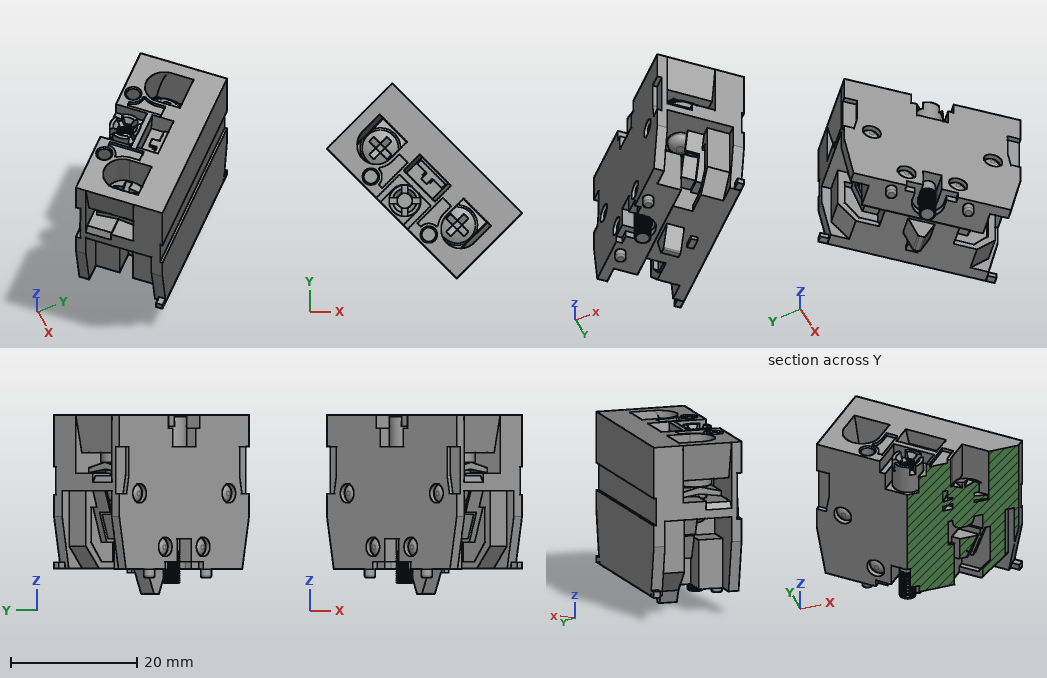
import cadquery as cq
import math


TURN_ANGLE = -45.0
OVERALL_FOOTPRINT = 30.94
WIDTH = 29.1
DEPTH = OVERALL_FOOTPRINT * math.sqrt(2) - WIDTH
HEIGHT = 24.45
HALF_WIDTH = WIDTH / 2
TAPER_START_Z = 8.4
BOTTOM_HALF_WIDTH = 13.02
FRONT_PLATE = 1.7
REAR_BOTTOM_Z = 0.1
FRONT_INNER_DEPTH = 5.7
REAR_GROOVE_DEPTH = 0.4
REAR_GROOVE_Z = (11.8, 16.2)
FOOT_SIZE = (1.45, 1.1, 1.0)

SIDE_NOTCH_DEPTH = 0.76
SIDE_NOTCH_HALF = 12.38
SIDE_NOTCH_LOW_HALF = 12.92
SIDE_NOTCH_Z = (11.95, 14.9, 19.4)
RIVET_POINTS = ((10.0, 12.02), (4.24, 3.53))
RIVET_RADIUS = 1.51
RIVET_RIM_DEPTH = 0.98
RIVET_TIP_RADIUS = 0.37
RIVET_TIP_DEPTH = 0.22
RIVET_BULGE = 0.2
STEP_HALF_WIDTH = 4.23
STEP_DEPTH = 1.0
STEP_HEIGHT = 1.2
ROD_SLOT_HALF_WIDTH = 1.55
ROD_SLOT_HEIGHT = 4.85

ROD_V = 2.89
FIXING_RADIUS = 2.48
FIXING_TOP_Z = 24.17
FIXING_BORE_RADIUS = 1.2
FIXING_MOUTH_RADIUS = 1.9
FIXING_MOUTH_DEPTH = 0.85
FIXING_SLOT_WIDTH = 1.0
FIXING_SLOT_Z = 22.66
FIXING_GROOVE_RADIUS = 1.35
FIXING_THREAD_TURNS = 7
SEAT_Z = 19.35
SEAT_RADIUS = 2.57
SHELF_Z = 22.3
SHELF_HALF_WIDTH = 3.5
SHELF_DEPTH = 5.25
ROD_RADIUS = 1.3
ROD_CORE_RADIUS = 1.1
ROD_BOTTOM_Z = -2.25
THREAD_PITCH = 0.34
ROD_THREAD_TURNS = 15
ROD_RELIEF_CENTRE_V = 2.35
ROD_RELIEF_RADIUS = 2.62

PIN_U = 6.36
PIN_V = 1.48
PIN_RADIUS = 0.87
PIN_BOTTOM_Z = -1.38
PIN_FILLET = 0.35
PIN_HOLE_U = 6.49
PIN_HOLE_V = 1.8
PIN_HOLE_RADIUS = 1.1
PIN_HOLE_RIM_RADIUS = 1.33
PIN_HOLE_DEPTH = 3.0

SHAFT_U = 9.41
SHAFT_RADIUS = 3.06
SHAFT_ARC_V = 5.95
SHAFT_END_V = 9.75
SHAFT_BOTTOM_Z = 18.46
SHAFT_WALL_LEAN = 0.87
OPENING_LEAN = 1.37
OPENING_FLOOR_Z = 15.2
OPENING_INNER_U = 5.5
SILL_V = 5.93
SILL_Z = 13.8
SILL_CHAMFER = (0.65, 1.0)
TRAY_DEPTH = 0.56
TRAY_INNER_U = 3.93
TRAY_OUTER_U = 6.47
TRAY_FRONT_V = 1.8
TRAY_REAR_V = 7.5
TRAY_PIN_RADIUS = 1.77
TRAY_SHAFT_RADIUS = 3.6

TERMINAL_U = 8.62
TERMINAL_V = 6.06
TERMINAL_HEAD_RADIUS = 2.87
TERMINAL_DOME_RADIUS = 3.2
TERMINAL_HEAD_Z = (16.93, 18.6, 19.6)
TERMINAL_SHANK_RADIUS = 2.07
TERMINAL_SHANK_Z = 10.7
TERMINAL_SHANK_FILLET = 1.4
CROSS_WIDTH = 1.03
CROSS_LENGTH = 5.2
CROSS_DEPTH = 1.3
WASHER_END_U = 11.7
WASHER_HALF_DEPTH = 3.62
WASHER_PEAK_Z = 16.95
WASHER_RISE = 0.9
WASHER_END_THICKNESS = 0.77
WASHER_PEAK_THICKNESS = 1.15

WINDOW_V = 6.18
WINDOW_DEPTH = 2.75
WINDOW_LEAN = 0.58
BRIDGE_HEIGHT = 0.5
BRIDGE_HALF_WIDTH = 2.75
BRIDGE_V = (8.45, 9.3)
BRIDGE_STEM_HALF_WIDTH = 0.62
BRIDGE_STEM_V = 7.2
BRIDGE_SHOULDER_HALF_WIDTH = 0.9
BRIDGE_SHOULDER_V = 7.76

CAVITY_TOP_Z = 12.4
CAVITY_REAR_V = 12.8
CORE_HALF_WIDTH = 6.15
FRONT_BLOCK_HALF_WIDTH = 10.0
FRONT_BLOCK_TOP_Z = 8.0
REAR_BLOCK_V = 9.04
REAR_BLOCK_HALF_WIDTH = 12.98
REAR_BLOCK_LOW_HALF_WIDTH = 10.0
REAR_BLOCK_SLOPE_Z = 3.63
TRACK_DEPTH = 0.86
TRACK_HALF_WIDTH = 11.83
TRACK_LOW_HALF_WIDTH = 9.48
TRACK_Z = (1.2, 4.3, 9.8)

CARRIAGE_TOP_HALF_WIDTH = 11.4
CARRIAGE_SLOPE = 0.339
CARRIAGE_BOTTOM_Z = 4.3
CARRIAGE_FRONT_V = 6.3
CARRIAGE_PLATE = 0.35
CARRIAGE_FLANGE_V = 8.7
CARRIAGE_HEAD_Z = 9.0
CARRIAGE_INSET = 0.47
CARRIAGE_PANEL_Z = (4.8, 8.7)
NOSE_V = (6.2, 9.1)
NOSE_BOTTOM_Z = -3.95
NOSE_BOTTOM_HALF_WIDTH = 0.55
NOSE_TOP_HALF_WIDTH = 2.2
NOSE_FILLET = 0.3
TAB_V = (10.7, 11.8)
TAB_HALF_WIDTH = 1.0
TAB_BOTTOM_Z = -0.6


def box(u_range, v_range, z_range):
    """Box between two values on each axis; the values may come in either order."""
    sizes = [abs(b - a) for a, b in (u_range, v_range, z_range)]
    corner = [min(pair) for pair in (u_range, v_range, z_range)]
    return cq.Workplane("XY").box(*sizes, centered=False).translate(tuple(corner))


def prism(outline, v_start, v_end):
    """Outline in (u, z), carried from v_start back to v_end."""
    return cq.Workplane("XZ", origin=(0, v_start, 0)).polyline(outline).close().extrude(v_start - v_end)


def cylinder(u, v, radius, z_start, z_end):
    return cq.Workplane("XY", origin=(u, v, z_start)).circle(radius).extrude(z_end - z_start)


def trapezoid(half_low, half_high, z_low, z_high, v_start, v_end):
    outline = [(-half_low, z_low), (half_low, z_low), (half_high, z_high), (-half_high, z_high)]
    return prism(outline, v_start, v_end)


def on_both_sides(solid):
    """The solid together with its mirror image in the middle plane u = 0."""
    return solid.union(solid.mirror("YZ"))


def housing():
    outline = [
        (-BOTTOM_HALF_WIDTH, 0), (BOTTOM_HALF_WIDTH, 0), (HALF_WIDTH, TAPER_START_Z),
        (HALF_WIDTH, HEIGHT), (-HALF_WIDTH, HEIGHT), (-HALF_WIDTH, TAPER_START_Z),
    ]
    body = prism(outline, 0, DEPTH)
    across = (-HALF_WIDTH, HALF_WIDTH)
    body = body.cut(box(across, (FRONT_INNER_DEPTH, DEPTH), (0, REAR_BOTTOM_Z)))
    foot_u, foot_v, foot_z = FOOT_SIZE
    foot = box(
        (HALF_WIDTH - foot_u, HALF_WIDTH), (DEPTH - foot_v, DEPTH), (REAR_BOTTOM_Z, REAR_BOTTOM_Z + foot_z)
    )
    body = body.union(on_both_sides(foot))
    return body.cut(box(across, (DEPTH - REAR_GROOVE_DEPTH, DEPTH), REAR_GROOVE_Z))


def side_notches():
    low_z, slope_z, top_z = SIDE_NOTCH_Z
    outline = [
        (SIDE_NOTCH_LOW_HALF, low_z), (SIDE_NOTCH_HALF, slope_z), (SIDE_NOTCH_HALF, top_z),
        (HALF_WIDTH, top_z), (HALF_WIDTH, low_z),
    ]
    return on_both_sides(prism(outline, 0, SIDE_NOTCH_DEPTH))


def rivet_recesses():
    """Round recesses, each with a domed rivet head standing up inside it."""
    mid_radius = (RIVET_RADIUS + RIVET_TIP_RADIUS) / 2
    mid_depth = (RIVET_RIM_DEPTH + RIVET_TIP_DEPTH) / 2 - RIVET_BULGE
    ring = (
        cq.Workplane("XY")
        .lineTo(RIVET_RADIUS, 0)
        .lineTo(RIVET_RADIUS, RIVET_RIM_DEPTH)
        .threePointArc((mid_radius, mid_depth), (RIVET_TIP_RADIUS, RIVET_TIP_DEPTH))
        .lineTo(0, RIVET_TIP_DEPTH)
        .close()
        .revolve(360, (0, 0, 0), (0, 1, 0))
    )
    recesses = cq.Workplane("XY")
    for u, z in RIVET_POINTS:
        recesses = recesses.add(on_both_sides(ring.translate((u, 0, z))))
    return recesses.combine()


def bottom_clearance():
    """Stepped opening at the lower front edge, around the threaded rod."""
    step = box((-STEP_HALF_WIDTH, STEP_HALF_WIDTH), (0, STEP_DEPTH), (0, STEP_HEIGHT))
    relief = box((-ROD_RELIEF_RADIUS, ROD_RELIEF_RADIUS), (0, ROD_RELIEF_CENTRE_V), (0, STEP_HEIGHT))
    relief = relief.union(cylinder(0, ROD_RELIEF_CENTRE_V, ROD_RELIEF_RADIUS, 0, STEP_HEIGHT))
    slot = box((-ROD_SLOT_HALF_WIDTH, ROD_SLOT_HALF_WIDTH), (0, ROD_V), (0, ROD_SLOT_HEIGHT))
    slot = slot.union(cylinder(0, ROD_V, ROD_SLOT_HALF_WIDTH, 0, ROD_SLOT_HEIGHT))
    return step.union(relief).union(slot)


def fixing_seat():
    shelf = box((-SHELF_HALF_WIDTH, SHELF_HALF_WIDTH), (0, SHELF_DEPTH), (SHELF_Z, HEIGHT))
    seat = box((-SEAT_RADIUS, SEAT_RADIUS), (0, ROD_V), (SEAT_Z, SHELF_Z))
    return shelf.union(seat).union(cylinder(0, ROD_V, SEAT_RADIUS, SEAT_Z, SHELF_Z))


def fixing_head():
    """Cylindrical head with a funnel-mouthed threaded bore and slots crossing along the global X and Y."""
    head = cylinder(0, ROD_V, FIXING_RADIUS, SEAT_Z, FIXING_TOP_Z)
    thread_z = FIXING_TOP_Z - FIXING_MOUTH_DEPTH
    profile = cq.Workplane("XZ").moveTo(0, FIXING_TOP_Z).lineTo(FIXING_MOUTH_RADIUS, FIXING_TOP_Z)
    profile = profile.lineTo(FIXING_BORE_RADIUS, thread_z)
    for _ in range(FIXING_THREAD_TURNS):
        profile = profile.lineTo(FIXING_GROOVE_RADIUS, thread_z - THREAD_PITCH / 2)
        thread_z -= THREAD_PITCH
        profile = profile.lineTo(FIXING_BORE_RADIUS, thread_z)
    bore = profile.lineTo(0, thread_z).close().revolve(360, (0, 0, 0), (0, 1, 0))
    bore = bore.translate((0, ROD_V, 0))
    head = head.cut(bore)
    slot = box(
        (-FIXING_RADIUS, FIXING_RADIUS), (-FIXING_SLOT_WIDTH / 2, FIXING_SLOT_WIDTH / 2),
        (FIXING_SLOT_Z, FIXING_TOP_Z),
    )
    for angle in (TURN_ANGLE, -TURN_ANGLE):
        turned = slot.rotate((0, 0, 0), (0, 0, 1), angle)
        head = head.cut(turned.translate((0, ROD_V, 0)))
    return head


def threaded_rod():
    """Rod with a row of ring-shaped thread ridges below a plain shank."""
    thread_z = ROD_BOTTOM_Z
    profile = cq.Workplane("XZ").moveTo(0, ROD_BOTTOM_Z).lineTo(ROD_CORE_RADIUS, ROD_BOTTOM_Z)
    for _ in range(ROD_THREAD_TURNS):
        profile = profile.lineTo(ROD_RADIUS, thread_z + THREAD_PITCH / 2)
        thread_z += THREAD_PITCH
        profile = profile.lineTo(ROD_CORE_RADIUS, thread_z)
    profile = profile.lineTo(ROD_RADIUS, thread_z)
    profile = profile.lineTo(ROD_RADIUS, ROD_SLOT_HEIGHT).lineTo(0, ROD_SLOT_HEIGHT).close()
    return profile.revolve(360, (0, 0, 0), (0, 1, 0)).translate((0, ROD_V, 0))


def locating_pins():
    pin = cylinder(PIN_U, PIN_V, PIN_RADIUS, PIN_BOTTOM_Z, STEP_HEIGHT)
    return on_both_sides(pin.faces("<Z").edges().fillet(PIN_FILLET))


def pin_holes():
    """Blind holes with a countersunk rim."""
    rim = PIN_HOLE_RIM_RADIUS - PIN_HOLE_RADIUS
    hole = cylinder(PIN_HOLE_U, PIN_HOLE_V, PIN_HOLE_RADIUS, HEIGHT - PIN_HOLE_DEPTH, HEIGHT)
    countersink = (
        cq.Workplane("XY", origin=(PIN_HOLE_U, PIN_HOLE_V, HEIGHT - rim))
        .circle(PIN_HOLE_RADIUS)
        .workplane(offset=rim)
        .circle(PIN_HOLE_RIM_RADIUS)
        .loft()
    )
    return on_both_sides(hole.union(countersink))


def shaft_outline_prism(radius, z_start, z_end):
    """D-shaped column: half-round at the front and square at the rear."""
    column = cylinder(SHAFT_U, SHAFT_ARC_V, radius, z_start, z_end)
    square = box((SHAFT_U - radius, SHAFT_U + radius), (SHAFT_ARC_V, SHAFT_END_V), (z_start, z_end))
    return column.union(square)


def terminal_shafts():
    """D-shaped shafts whose outer wall leans inward towards the bottom."""
    shaft = shaft_outline_prism(SHAFT_RADIUS, SHAFT_BOTTOM_Z, HEIGHT)
    outer_u = SHAFT_U + SHAFT_RADIUS
    wall = [(outer_u, HEIGHT), (outer_u, SHAFT_BOTTOM_Z), (outer_u - SHAFT_WALL_LEAN, SHAFT_BOTTOM_Z)]
    return on_both_sides(shaft.cut(prism(wall, 0, DEPTH)))


def side_openings():
    """Wire entries under the leaning shaft walls, with a chamfered sill at the front."""
    entry = [
        (HALF_WIDTH, HEIGHT), (HALF_WIDTH - OPENING_LEAN, SHAFT_BOTTOM_Z),
        (OPENING_INNER_U, SHAFT_BOTTOM_Z), (OPENING_INNER_U, OPENING_FLOOR_Z), (HALF_WIDTH, OPENING_FLOOR_Z),
    ]
    chamfer_u, chamfer_z = SILL_CHAMFER
    sill_inner_u = HALF_WIDTH - chamfer_u
    sill = [
        (HALF_WIDTH, SILL_Z), (sill_inner_u, SILL_Z + chamfer_z),
        (OPENING_INNER_U, SILL_Z + chamfer_z), (OPENING_INNER_U, OPENING_FLOOR_Z),
        (HALF_WIDTH, OPENING_FLOOR_Z),
    ]
    opening = prism(entry, FRONT_PLATE, SHAFT_END_V).union(prism(sill, FRONT_PLATE, SILL_V))
    return on_both_sides(opening)


def top_trays():
    """Shallow recesses between each shaft and the fixing screw, cut back round the shaft and pin hole."""
    floor_z = HEIGHT - TRAY_DEPTH
    tray = box((TRAY_INNER_U, TRAY_OUTER_U), (TRAY_FRONT_V, TRAY_REAR_V), (floor_z, HEIGHT))
    tray = tray.cut(shaft_outline_prism(TRAY_SHAFT_RADIUS, floor_z, HEIGHT))
    tray = tray.cut(cylinder(PIN_HOLE_U, PIN_HOLE_V, TRAY_PIN_RADIUS, floor_z, HEIGHT))
    return on_both_sides(tray)


def terminal_screws():
    """Domed cross-head screws clamping bent saddle washers."""
    head_z, dome_z, crown_z = TERMINAL_HEAD_Z
    dome_rise = crown_z - dome_z
    sphere_radius = (TERMINAL_DOME_RADIUS**2 + dome_rise**2) / (2 * dome_rise)
    half_angle = math.asin(TERMINAL_DOME_RADIUS / sphere_radius) / 2
    mid_radius = sphere_radius * math.sin(half_angle)
    mid_z = crown_z - sphere_radius * (1 - math.cos(half_angle))
    screw = (
        cq.Workplane("XZ")
        .moveTo(0, TERMINAL_SHANK_Z)
        .lineTo(TERMINAL_SHANK_RADIUS, TERMINAL_SHANK_Z)
        .lineTo(TERMINAL_SHANK_RADIUS, head_z)
        .lineTo(TERMINAL_HEAD_RADIUS, head_z)
        .lineTo(TERMINAL_HEAD_RADIUS, dome_z)
        .lineTo(TERMINAL_DOME_RADIUS, dome_z)
        .threePointArc((mid_radius, mid_z), (0, crown_z))
        .close()
        .revolve(360, (0, 0, 0), (0, 1, 0))
    )
    screw = screw.faces("<Z").edges().fillet(TERMINAL_SHANK_FILLET)
    half_length = CROSS_LENGTH / 2
    half_width = CROSS_WIDTH / 2
    arm = trapezoid(half_width, half_length, crown_z - CROSS_DEPTH, crown_z, -half_width, half_width)
    for angle in (0, 90):
        screw = screw.cut(arm.rotate((0, 0, 0), (0, 0, 1), angle))
    return on_both_sides(screw.translate((TERMINAL_U, TERMINAL_V, 0)))


def saddle_washers():
    low_z = WASHER_PEAK_Z - WASHER_RISE
    front_v = TERMINAL_V - WASHER_HALF_DEPTH
    rear_v = TERMINAL_V + WASHER_HALF_DEPTH
    washer = (
        cq.Workplane("YZ", origin=(OPENING_INNER_U, 0, 0))
        .polyline([
            (front_v, low_z), (TERMINAL_V, WASHER_PEAK_Z), (rear_v, low_z),
            (rear_v, low_z - WASHER_END_THICKNESS), (TERMINAL_V, WASHER_PEAK_Z - WASHER_PEAK_THICKNESS),
            (front_v, low_z - WASHER_END_THICKNESS),
        ])
        .close()
        .extrude(WASHER_END_U - OPENING_INNER_U)
    )
    return on_both_sides(washer)


def window():
    """Pocket with leaning end walls and a T-shaped contact bridge standing on its floor."""
    floor_z = HEIGHT - WINDOW_DEPTH
    floor_half_width = SHELF_HALF_WIDTH - WINDOW_LEAN
    pocket = trapezoid(floor_half_width, SHELF_HALF_WIDTH, floor_z, HEIGHT, WINDOW_V, SHAFT_END_V)
    bar_v, bar_end_v = BRIDGE_V
    steps = (
        (BRIDGE_HALF_WIDTH, (bar_v, bar_end_v), BRIDGE_HEIGHT),
        (BRIDGE_STEM_HALF_WIDTH, (BRIDGE_STEM_V, bar_v), BRIDGE_HEIGHT),
        (BRIDGE_SHOULDER_HALF_WIDTH, (BRIDGE_SHOULDER_V, bar_v), BRIDGE_HEIGHT / 2),
    )
    for half_width, v_range, height in steps:
        pocket = pocket.cut(box((-half_width, half_width), v_range, (floor_z, floor_z + height)))
    return pocket


def lower_cavities():
    """Side cavities between the front and rear plates, leaving the inner blocks standing."""
    cavity = box((CORE_HALF_WIDTH, HALF_WIDTH), (FRONT_PLATE, CAVITY_REAR_V), (0, CAVITY_TOP_Z))
    front_block = box((0, FRONT_BLOCK_HALF_WIDTH), (FRONT_PLATE, FRONT_INNER_DEPTH), (0, FRONT_BLOCK_TOP_Z))
    rear_outline = [
        (0, REAR_BOTTOM_Z), (REAR_BLOCK_LOW_HALF_WIDTH, REAR_BOTTOM_Z),
        (REAR_BLOCK_HALF_WIDTH, REAR_BLOCK_SLOPE_Z), (REAR_BLOCK_HALF_WIDTH, CAVITY_TOP_Z), (0, CAVITY_TOP_Z),
    ]
    rear_block = prism(rear_outline, REAR_BLOCK_V, CAVITY_REAR_V)
    low_z, slope_z, top_z = TRACK_Z
    track_outline = [
        (CORE_HALF_WIDTH, low_z), (TRACK_LOW_HALF_WIDTH, low_z), (TRACK_HALF_WIDTH, slope_z),
        (TRACK_HALF_WIDTH, top_z), (CORE_HALF_WIDTH, top_z),
    ]
    track = prism(track_outline, REAR_BLOCK_V, REAR_BLOCK_V + TRACK_DEPTH)
    return on_both_sides(cavity.cut(front_block).cut(rear_block).union(track))


def carriage_half_width(z):
    return CARRIAGE_TOP_HALF_WIDTH - CARRIAGE_SLOPE * (CAVITY_TOP_Z - z)


def carriage_layer(z_range, v_start, v_end, inset):
    low_z, high_z = z_range
    half_low = carriage_half_width(low_z) - inset
    half_high = carriage_half_width(high_z) - inset
    return trapezoid(half_low, half_high, low_z, high_z, v_start, v_end)


def carriage():
    """Carriage with thin leaning contact plates, a rear flange running in the track and a nose below."""
    head_z = (CARRIAGE_HEAD_Z, CAVITY_TOP_Z)
    head = carriage_layer(head_z, CARRIAGE_FRONT_V, REAR_BLOCK_V, 0)
    head = head.cut(carriage_layer(head_z, CARRIAGE_FRONT_V, REAR_BLOCK_V, CARRIAGE_PLATE))
    flange = carriage_layer((CARRIAGE_BOTTOM_Z, TRACK_Z[2]), CARRIAGE_FLANGE_V, REAR_BLOCK_V + TRACK_DEPTH, 0)
    panel = carriage_layer(CARRIAGE_PANEL_Z, CARRIAGE_FRONT_V, CARRIAGE_FLANGE_V, CARRIAGE_INSET)
    nose_start, nose_end = NOSE_V
    nose = trapezoid(
        NOSE_BOTTOM_HALF_WIDTH, NOSE_TOP_HALF_WIDTH, NOSE_BOTTOM_Z, REAR_BOTTOM_Z, nose_start, nose_end
    )
    nose = nose.faces("<Z").edges("|Y").fillet(NOSE_FILLET)
    tab = box((-TAB_HALF_WIDTH, TAB_HALF_WIDTH), TAB_V, (TAB_BOTTOM_Z, REAR_BOTTOM_Z))
    return head.union(flange).union(panel).union(nose).union(tab)


block = housing()
for cutter in (
    side_notches(), rivet_recesses(), bottom_clearance(), fixing_seat(), pin_holes(), terminal_shafts(),
    side_openings(), top_trays(), window(), lower_cavities(),
):
    block = block.cut(cutter)
for addition in (
    fixing_head(), threaded_rod(), locating_pins(), terminal_screws(), saddle_washers(), carriage(),
):
    block = block.union(addition)

result = block.translate((0, -DEPTH / 2, 0)).rotate((0, 0, 0), (0, 0, 1), TURN_ANGLE)